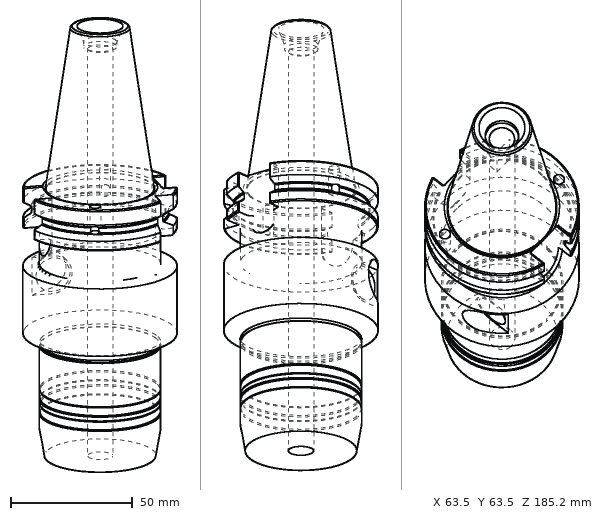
import cadquery as cq
import math


TOTAL_LENGTH = 185.2
FLANGE_DIAMETER = 63.5
FLANGE_RADIUS = FLANGE_DIAMETER / 2
BODY_RADIUS = 25.0

SHANK_BIG_RADIUS = 22.2
SHANK_LENGTH = 68.4
SHANK_BOTTOM = TOTAL_LENGTH - SHANK_LENGTH
SHANK_SLOPE = 7 / 48
SHANK_SMALL_RADIUS = SHANK_BIG_RADIUS - SHANK_SLOPE * SHANK_LENGTH
SHANK_RIM_CHAMFER = 0.7

FLANGE_TOP = 115.8
FLANGE_BOTTOM = 98.2
UNDERCUT_WIDTH = 1.5
UNDERCUT_DEPTH = 0.7
UNDERCUT_FLOOR_WIDTH = 0.4
EDGE_CHAMFER = 0.5
GROOVE_RADIUS = 28.2
GROOVE_TOP = 109.5
GROOVE_BOTTOM = 102.5
GROOVE_FLANK_ANGLE = math.radians(30)
GROOVE_FLANK_HEIGHT = (FLANGE_RADIUS - GROOVE_RADIUS) * math.tan(GROOVE_FLANK_ANGLE)
GROOVE_CORNER = 0.4
BODY_FILLET = 1.1

COLLAR_TOP = 81.9
COLLAR_BOTTOM = 52.8
COLLAR_SKIRT_DROP = 1.0
NOSE_FILLET = 3.0

JOINT_TOP = COLLAR_BOTTOM - COLLAR_SKIRT_DROP - NOSE_FILLET
JOINT_WIDTH = 1.3
JOINT_FLANK = 1.0
JOINT_DEPTH = 0.5
GRIP_TOPS = [28.9, 22.8]
GRIP_DEPTH = 0.28
GRIP_STEP_HEIGHT = 0.5
GRIP_HEIGHT = 4.5
GRIP_LAND = 1.1
NOSE_TAPER_HEIGHT = 11.7
NOSE_TIP_RADIUS = 23.0

BORE_RADIUS = 5.2
BORE_MOUTH_RADIUS = 9.5
BORE_CONE_RADIUS = 8.7
BORE_CONE_START = 1.5
PILOT_RADIUS = 6.9
PILOT_START = 6.7
PILOT_END = 8.7
DRILL_ANGLE = math.radians(59)

SLOT_WIDTH = 16.3
SLOT_END = 88.7
SLOT_FILLET = 0.5
SLOT_CHAMFER = 0.5
FRONT_SLOT_FLOOR = 22.8
BACK_SLOT_FLOOR = 24.5

NOTCH_X = 18.0
NOTCH_Y = 18.5

COOLANT_X = 25.0
COOLANT_Y = 9.3
COOLANT_RADIUS = 2.2
COOLANT_END = 104.7

POCKET_Y = -13.9
POCKET_Z = 72.6
POCKET_RADIUS = 8.2
POCKET_FLOOR_X = -22.0
POCKET_CONE_RADIUS = 7.2
POCKET_CONE_DEPTH = POCKET_CONE_RADIUS


def grip_band(profile, top):
    """Add one grip band going downwards: a narrow land between two shallow notches."""
    bevel = (GRIP_HEIGHT - GRIP_LAND) / 2
    root = BODY_RADIUS - GRIP_DEPTH
    bottom = top - GRIP_HEIGHT
    return (
        profile.lineTo(BODY_RADIUS, top)
        .lineTo(root, top - GRIP_STEP_HEIGHT)
        .lineTo(BODY_RADIUS, top - bevel)
        .lineTo(BODY_RADIUS, bottom + bevel)
        .lineTo(root, bottom + GRIP_STEP_HEIGHT)
        .lineTo(BODY_RADIUS, bottom)
    )


def turned_body():
    undercut_floor = FLANGE_TOP - UNDERCUT_DEPTH
    floor_top = GROOVE_TOP - GROOVE_FLANK_HEIGHT
    floor_bottom = GROOVE_BOTTOM + GROOVE_FLANK_HEIGHT
    corner_width = GROOVE_CORNER * math.cos(GROOVE_FLANK_ANGLE)
    corner_height = GROOVE_CORNER * math.sin(GROOVE_FLANK_ANGLE)
    skirt_bottom = COLLAR_BOTTOM - COLLAR_SKIRT_DROP
    fillet_radius = BODY_RADIUS + BODY_FILLET

    profile = (
        cq.Workplane("XZ")
        .moveTo(0, TOTAL_LENGTH)
        .lineTo(SHANK_SMALL_RADIUS - SHANK_RIM_CHAMFER, TOTAL_LENGTH)
        .lineTo(SHANK_SMALL_RADIUS, TOTAL_LENGTH - SHANK_RIM_CHAMFER)
        .lineTo(SHANK_BIG_RADIUS, SHANK_BOTTOM)
        .lineTo(SHANK_BIG_RADIUS, undercut_floor)
        .lineTo(SHANK_BIG_RADIUS + UNDERCUT_FLOOR_WIDTH, undercut_floor)
        .lineTo(SHANK_BIG_RADIUS + UNDERCUT_WIDTH, FLANGE_TOP)
        .lineTo(FLANGE_RADIUS - EDGE_CHAMFER, FLANGE_TOP)
        .lineTo(FLANGE_RADIUS, FLANGE_TOP - EDGE_CHAMFER)
        .lineTo(FLANGE_RADIUS, GROOVE_TOP)
        .lineTo(GROOVE_RADIUS + corner_width, floor_top + corner_height)
        .lineTo(GROOVE_RADIUS, floor_top - GROOVE_CORNER)
        .lineTo(GROOVE_RADIUS, floor_bottom + GROOVE_CORNER)
        .lineTo(GROOVE_RADIUS + corner_width, floor_bottom - corner_height)
        .lineTo(FLANGE_RADIUS, GROOVE_BOTTOM)
        .lineTo(FLANGE_RADIUS, FLANGE_BOTTOM + EDGE_CHAMFER)
        .lineTo(FLANGE_RADIUS - EDGE_CHAMFER, FLANGE_BOTTOM)
        .lineTo(fillet_radius, FLANGE_BOTTOM)
        .radiusArc((BODY_RADIUS, FLANGE_BOTTOM - BODY_FILLET), -BODY_FILLET)
        .lineTo(BODY_RADIUS, COLLAR_TOP + BODY_FILLET)
        .radiusArc((fillet_radius, COLLAR_TOP), -BODY_FILLET)
        .lineTo(FLANGE_RADIUS, COLLAR_TOP)
        .lineTo(FLANGE_RADIUS, COLLAR_BOTTOM)
        .lineTo(BODY_RADIUS + NOSE_FILLET, skirt_bottom)
        .radiusArc((BODY_RADIUS, JOINT_TOP), -NOSE_FILLET)
        .lineTo(BODY_RADIUS - JOINT_DEPTH, JOINT_TOP - JOINT_FLANK)
        .lineTo(BODY_RADIUS, JOINT_TOP - JOINT_WIDTH)
    )
    for top in GRIP_TOPS:
        profile = grip_band(profile, top)
    profile = (
        profile.lineTo(BODY_RADIUS, NOSE_TAPER_HEIGHT)
        .lineTo(NOSE_TIP_RADIUS, 0)
        .lineTo(0, 0)
        .close()
    )
    return profile.revolve(360, (0, 0), (0, 1))


def bore():
    tip_height = (PILOT_RADIUS - BORE_RADIUS) / math.tan(DRILL_ANGLE)
    return (
        cq.Workplane("XZ")
        .moveTo(0, TOTAL_LENGTH)
        .lineTo(BORE_MOUTH_RADIUS, TOTAL_LENGTH)
        .lineTo(BORE_CONE_RADIUS, TOTAL_LENGTH - BORE_CONE_START)
        .lineTo(PILOT_RADIUS, TOTAL_LENGTH - PILOT_START)
        .lineTo(PILOT_RADIUS, TOTAL_LENGTH - PILOT_END)
        .lineTo(BORE_RADIUS, TOTAL_LENGTH - PILOT_END - tip_height)
        .lineTo(BORE_RADIUS, 0)
        .lineTo(0, 0)
        .close()
        .revolve(360, (0, 0), (0, 1))
    )


def drive_slot(side, floor):
    """Slot with a round lower end; side is -1 for the -Y flank and +1 for the +Y flank."""
    half = SLOT_WIDTH / 2
    mouth = half + SLOT_CHAMFER
    arc_center = SLOT_END + half
    cutter = (
        cq.Workplane("XZ", origin=(0, side * floor, 0))
        .moveTo(-mouth, TOTAL_LENGTH)
        .lineTo(-mouth, FLANGE_TOP)
        .lineTo(-half, FLANGE_TOP - SLOT_CHAMFER)
        .lineTo(-half, arc_center)
        .threePointArc((0, SLOT_END), (half, arc_center))
        .lineTo(half, FLANGE_TOP - SLOT_CHAMFER)
        .lineTo(mouth, FLANGE_TOP)
        .lineTo(mouth, TOTAL_LENGTH)
        .close()
        .extrude(-side * FLANGE_RADIUS)
    )
    floor_face = "<Y" if side > 0 else ">Y"
    cutter = cutter.faces(floor_face).edges().fillet(SLOT_FILLET)

    rim = math.sqrt(FLANGE_RADIUS ** 2 - half ** 2)
    flare = half + 2 * SLOT_CHAMFER
    inner_y = side * (rim - SLOT_CHAMFER)
    outer_y = side * (rim + SLOT_CHAMFER)
    outer_limit = side * FLANGE_RADIUS
    rim_wedge = (
        cq.Workplane("XY", origin=(0, 0, FLANGE_BOTTOM))
        .polyline(
            [
                (-half, inner_y),
                (half, inner_y),
                (flare, outer_y),
                (flare, outer_limit),
                (-flare, outer_limit),
                (-flare, outer_y),
            ]
        )
        .close()
        .extrude(FLANGE_TOP - FLANGE_BOTTOM)
    )
    return cutter.union(rim_wedge)


def orientation_notch():
    return cq.Workplane("XY").box(
        FLANGE_RADIUS, FLANGE_RADIUS, FLANGE_TOP - COLLAR_TOP, centered=False
    ).translate((NOTCH_X, NOTCH_Y, COLLAR_TOP))


def coolant_hole(x, y):
    tip = COOLANT_RADIUS / math.tan(DRILL_ANGLE)
    return (
        cq.Workplane("XZ")
        .moveTo(0, FLANGE_TOP)
        .lineTo(COOLANT_RADIUS, FLANGE_TOP)
        .lineTo(COOLANT_RADIUS, COOLANT_END)
        .lineTo(0, COOLANT_END - tip)
        .close()
        .revolve(360, (0, 0), (0, 1))
        .translate((x, y, 0))
    )


def screw_pocket():
    depth = FLANGE_RADIUS + POCKET_FLOOR_X
    plane = cq.Workplane("YZ", origin=(POCKET_FLOOR_X, POCKET_Y, POCKET_Z))
    round_end = plane.circle(POCKET_RADIUS).extrude(-depth)
    run_out = plane.center(-FLANGE_RADIUS / 2, 0).rect(FLANGE_RADIUS, 2 * POCKET_RADIUS).extrude(-depth)
    cone = cq.Workplane(
        cq.Solid.makeCone(
            POCKET_CONE_RADIUS, 0, POCKET_CONE_DEPTH,
            cq.Vector(POCKET_FLOOR_X, POCKET_Y, POCKET_Z), cq.Vector(1, 0, 0),
        )
    )
    return round_end.union(run_out).union(cone)


result = turned_body().cut(bore())
result = result.cut(drive_slot(-1, FRONT_SLOT_FLOOR)).cut(drive_slot(1, BACK_SLOT_FLOOR))
result = result.cut(orientation_notch())
for sign in (-1, 1):
    result = result.cut(coolant_hole(sign * COOLANT_X, -sign * COOLANT_Y))
result = result.cut(screw_pocket())